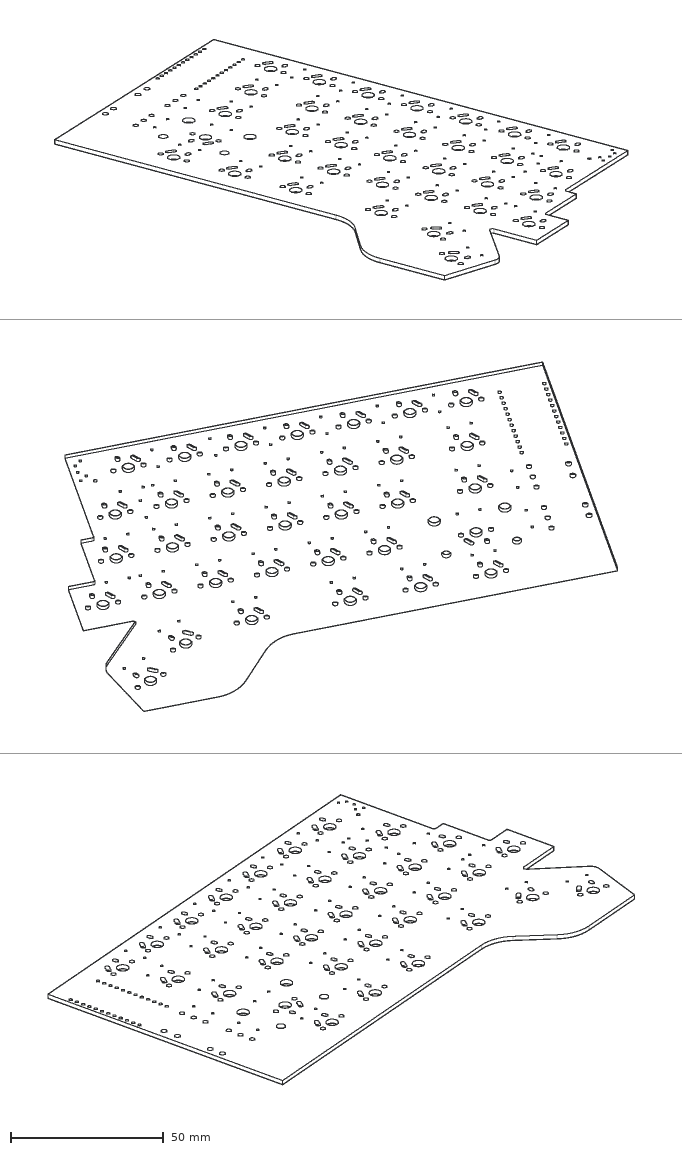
import cadquery as cq
import math

board_width = 175.7
board_depth = 116.2
board_thickness = 1.6
key_rows = 5
key_field_depth = 95.2
pitch = key_field_depth / key_rows
half_pitch = pitch / 2
top_row_keys = 7
top_row_last_x = 142.7
first_key_x = top_row_last_x - (top_row_keys - 1) * pitch

upper_edge_x = 161.7
middle_edge_x = 166.4
main_bottom_y = board_depth - key_field_depth
step_radius = 0.9
neck_x = 157.1
neck_radius = 0.9
thumb_tilt = -20.0
thumb_corner_x = 173.6
thumb_corner_y = 21.5
thumb_corner_radius = 3.5
thumb_foot_x = 165.9
flank_top_x = 116.3
flank_foot_x = 134.0
flank_radius = 14.0

stem_diameter = 4.0
peg_diameter = 1.7
peg_offset = 5.1
pin_width = 1.5
slanted_pin = (-3.3, 3.5)
slanted_pin_travel = 2.1
slanted_pin_angle = 52.0
upright_pin = (2.5, 4.7)
upright_pin_travel = 0.7

key_columns = [
    list(range(top_row_keys)),
    [0.25, 1.5, 2.5, 3.5, 4.5, 5.5, 6.5],
    [0.375, 1.75, 2.75, 3.75, 4.75, 5.75, 6.75],
    [0.625, 2.25, 3.25, 4.25, 5.25, 6.25, 7.25],
    [0.625, 1.875, 3.125, 4.875],
]
flipped_key = (3, 0.625)
thumb_keys = [(144.8, 25.8), (160.3, 12.7)]

diode_hole_diameter = 0.8
diode_span = 7.7
top_diode_rise = 2.0
diode_shifts = {(0, 4): -0.5, (1, 6.5): -8.0, (2, 6.75): -2.6, (3, 7.25): -7.5}
extra_diode_place = (1, 6)
side_diode_x = 22.0
side_diode_ys = [69.2, 51.0]

stabiliser_half_span = 12.0
wire_rise = 8.3
wire_hole_diameter = 4.0
clip_drop = 7.0
clip_hole_diameter = 3.0

header_pins = 12
header_length = 28.0
header_pitch = header_length / (header_pins - 1)
header_xs = [1.5, 16.7]
header_top_y = 108.0
header_hole_diameter = 1.09

left_pair_diameter = 2.0
left_pair_holes = [(3.2, 71.3), (3.2, 65.9), (2.6, 52.2), (2.6, 47.3)]
triple_hole_diameter = 1.7
triple_x = 16.0
triple_pitch = 4.7
triple_centre_ys = [68.7, 49.7]

corner_hole_diameter = 0.8
corner_holes = [(157.1, 113.7), (157.0, 106.7), (159.2, 112.0), (159.2, 109.0), (159.2, 105.0)]
corner_peg = (154.6, 103.9)
corner_peg_diameter = 1.09


def row_y(row):
    return board_depth - half_pitch - row * pitch


def key_x(column):
    return first_key_x + column * pitch


def turned(origin, offset, angle):
    """Point at an offset from the origin, with the offset turned by an angle in degrees."""
    c = math.cos(math.radians(angle))
    s = math.sin(math.radians(angle))
    return origin[0] + c * offset[0] - s * offset[1], origin[1] + s * offset[0] + c * offset[1]


def drill(points, diameter):
    """Through-hole cutters at the points."""
    holes = cq.Workplane("XY").pushPoints(points).circle(diameter / 2).extrude(board_thickness)
    return holes.solids().vals()


def slots(centres, travel, width):
    """Through-slot cutters, one per centre and angle, whose end centres are one travel apart."""
    cutters = []
    for centre, angle in centres:
        profile = cq.Workplane("XY").center(*centre).slot2D(travel + width, width, angle)
        cutters += profile.extrude(board_thickness).solids().vals()
    return cutters


def make_board():
    upper_step_y = row_y(1.5)
    lower_step_y = row_y(2.5)
    neck_y = row_y(3.5)
    outline = [
        (0, main_bottom_y),
        (0, board_depth),
        (upper_edge_x, board_depth),
        (upper_edge_x, upper_step_y),
        (middle_edge_x, upper_step_y),
        (middle_edge_x, lower_step_y),
        (board_width, lower_step_y),
        (board_width, neck_y),
        (neck_x, neck_y),
        (thumb_corner_x, thumb_corner_y),
        (thumb_foot_x, 0),
        (flank_foot_x, 0),
        (flank_top_x, main_bottom_y),
    ]
    rounded_corners = [
        ((upper_edge_x, upper_step_y), step_radius),
        ((middle_edge_x, lower_step_y), step_radius),
        ((neck_x, neck_y), neck_radius),
        ((thumb_corner_x, thumb_corner_y), thumb_corner_radius),
        ((flank_foot_x, 0), flank_radius),
        ((flank_top_x, main_bottom_y), flank_radius),
    ]
    board = cq.Workplane("XY").polyline(outline).close().extrude(board_thickness)
    for (x, y), radius in rounded_corners:
        nearest = cq.selectors.NearestToPointSelector((x, y, board_thickness / 2))
        board = board.edges("|Z").edges(nearest).fillet(radius)
    return board


switches = []
for row, columns in enumerate(key_columns):
    for column in columns:
        angle = 180 if (row, column) == flipped_key else 0
        switches.append(((key_x(column), row_y(row)), angle))
switches += [(centre, thumb_tilt) for centre in thumb_keys]


def switch_holes():
    pegs = []
    slanted_pins = []
    upright_pins = []
    for centre, angle in switches:
        pegs += [turned(centre, (side * peg_offset, 0), angle) for side in (-1, 1)]
        slanted_pins.append((turned(centre, slanted_pin, angle), slanted_pin_angle + angle))
        upright_pins.append((turned(centre, upright_pin, angle), 90 + angle))
    holes = drill([centre for centre, _ in switches], stem_diameter)
    holes += drill(pegs, peg_diameter)
    holes += slots(slanted_pins, slanted_pin_travel, pin_width)
    holes += slots(upright_pins, upright_pin_travel, pin_width)
    return holes


def diode_holes():
    diodes = []
    for column in key_columns[0][:-1]:
        shift = diode_shifts.get((0, column), 0)
        diodes.append(((key_x(column + 0.5) + shift, row_y(0) + top_diode_rise), 90))
    extra_row, extra_column = extra_diode_place
    diodes.append(((key_x(extra_column), row_y(extra_row)), 90))
    diodes += [((side_diode_x, y), 90) for y in side_diode_ys]
    for row, columns in enumerate(key_columns[1:], start=1):
        for column in columns:
            shift = diode_shifts.get((row, column), 0)
            diodes.append(((key_x(column) + shift, row_y(row - 0.5)), 0))
    for centre in thumb_keys:
        diodes.append((turned(centre, (0, half_pitch), thumb_tilt), thumb_tilt))

    leads = []
    for centre, angle in diodes:
        leads += [turned(centre, (side * diode_span / 2, 0), angle) for side in (-1, 1)]
    return drill(leads, diode_hole_diameter)


def stabiliser_holes():
    row, column = flipped_key
    xs = [key_x(column) + side * stabiliser_half_span for side in (-1, 1)]
    wire_holes = drill([(x, row_y(row) + wire_rise) for x in xs], wire_hole_diameter)
    clip_holes = drill([(x, row_y(row) - clip_drop) for x in xs], clip_hole_diameter)
    return wire_holes + clip_holes


def electronics_holes():
    header = [(x, header_top_y - i * header_pitch) for x in header_xs for i in range(header_pins)]
    triples = [(triple_x, y + i * triple_pitch) for y in triple_centre_ys for i in (-1, 0, 1)]
    holes = drill(header, header_hole_diameter)
    holes += drill(left_pair_holes, left_pair_diameter)
    holes += drill(triples, triple_hole_diameter)
    holes += drill(corner_holes, corner_hole_diameter)
    holes += drill([corner_peg], corner_peg_diameter)
    return holes


cutters = switch_holes() + diode_holes() + stabiliser_holes() + electronics_holes()
result = cq.Workplane(make_board().val().cut(*cutters).Solids()[0])